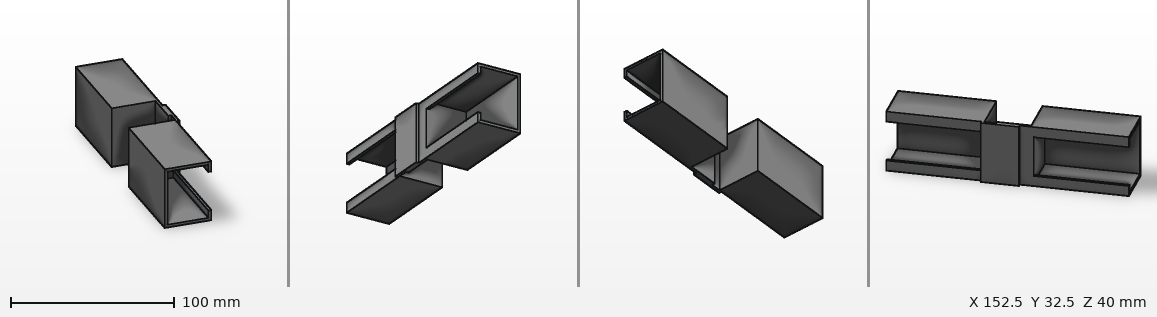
import cadquery as cq

total_length = 152.5
total_depth = 32.5
height = 40.0

wall = 2.0
box_length = 61.8
box_depth = total_depth - wall
lip_height = 6.9

tongue_length = 22.0
plate_length = 24.1
plate_overlap = wall

gap_end = total_length - box_length


def block(x_start, x_end, y_start, y_end, z_start=0.0, z_end=height):
    """Rectangular block between the given limits."""
    size = (x_end - x_start, y_end - y_start, z_end - z_start)
    return cq.Workplane("XY").box(*size, centered=False).translate((x_start, y_start, z_start))


def channel_box(x_start, cavity_start):
    """Box with a cavity open at its outer end and a slot between the back lips."""
    cavity_end = cavity_start + box_length - wall
    body = block(x_start, x_start + box_length, 0, box_depth)
    cavity = block(cavity_start, cavity_end, wall, box_depth - wall, wall, height - wall)
    slot = block(cavity_start, cavity_end, wall, box_depth, lip_height, height - lip_height)
    return body.cut(cavity).cut(slot)


left_box = channel_box(0, 0)
right_box = channel_box(gap_end, gap_end + wall)

tongue = block(box_length, box_length + tongue_length, box_depth - wall, box_depth)

plate_end = gap_end + plate_overlap
plate = block(plate_end - plate_length, plate_end, box_depth, total_depth)

result = left_box.union(tongue).union(plate).union(right_box)